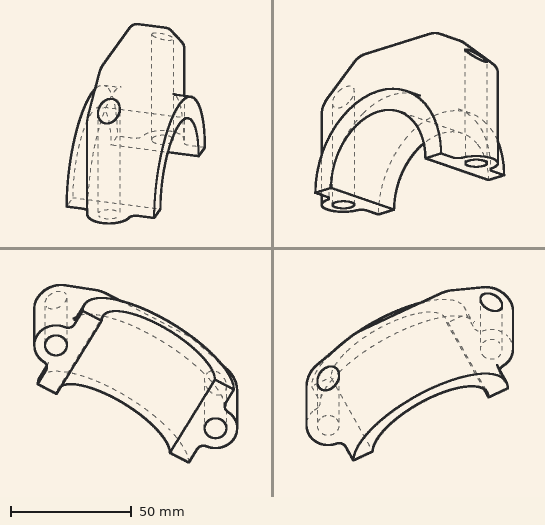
import cadquery as cq

length = 94.0
height = 60.0
body_width = 18.05
ring_width = 38.0
ring_radius = 36.0
bore_radius = 27.0
bolt_hole_diameter = 9.0
corner_y = 22.0
end_height = 40.0
corner_radius = 10.0
edge_fillet = 3.0
margin = 0.1

end_radius = body_width / 2
bolt_y = length / 2 - end_radius


def along_x_cylinder(radius, width):
    """Cylinder on the X axis, centred on the origin."""
    return cq.Workplane("YZ").circle(radius).extrude(width / 2, both=True)


def clamp_body():
    """Upright body with round ends, a flat top and two sloping shoulders."""
    plan = cq.Workplane("XY").slot2D(length, body_width, angle=90).extrude(height)
    half_length = length / 2
    side_profile = (
        cq.Workplane("YZ")
        .polyline([
            (-half_length, 0),
            (half_length, 0),
            (half_length, end_height),
            (corner_y, height),
            (-corner_y, height),
            (-half_length, end_height),
        ])
        .close()
        .extrude(body_width / 2, both=True)
    )
    top_corners = cq.selectors.BoxSelector(
        (-body_width, -length / 2, height - margin),
        (body_width, length / 2, height + margin),
    )
    side_profile = side_profile.edges("|X").edges(top_corners).fillet(corner_radius)
    body = plan.intersect(side_profile)
    return body.faces(">Z").edges("|Y").fillet(edge_fillet)


def bearing_half():
    """Body joined to the half ring, with a fillet where they meet."""
    lower_half = cq.Workplane("XY").box(
        2 * ring_width, 2 * length, length, centered=(True, True, False)
    ).translate((0, 0, -length))
    ring = along_x_cylinder(ring_radius, ring_width).cut(lower_half)
    joined = clamp_body().union(ring)
    seam_box = cq.selectors.BoxSelector(
        (-end_radius - margin, -ring_radius - margin, margin),
        (end_radius + margin, ring_radius + margin, ring_radius + margin),
    )
    return joined.edges(seam_box).fillet(edge_fillet)


bolt_holes = (
    cq.Workplane("XY")
    .pushPoints([(0, -bolt_y), (0, bolt_y)])
    .circle(bolt_hole_diameter / 2)
    .extrude(height)
)

result = bearing_half().cut(along_x_cylinder(bore_radius, ring_width)).cut(bolt_holes)